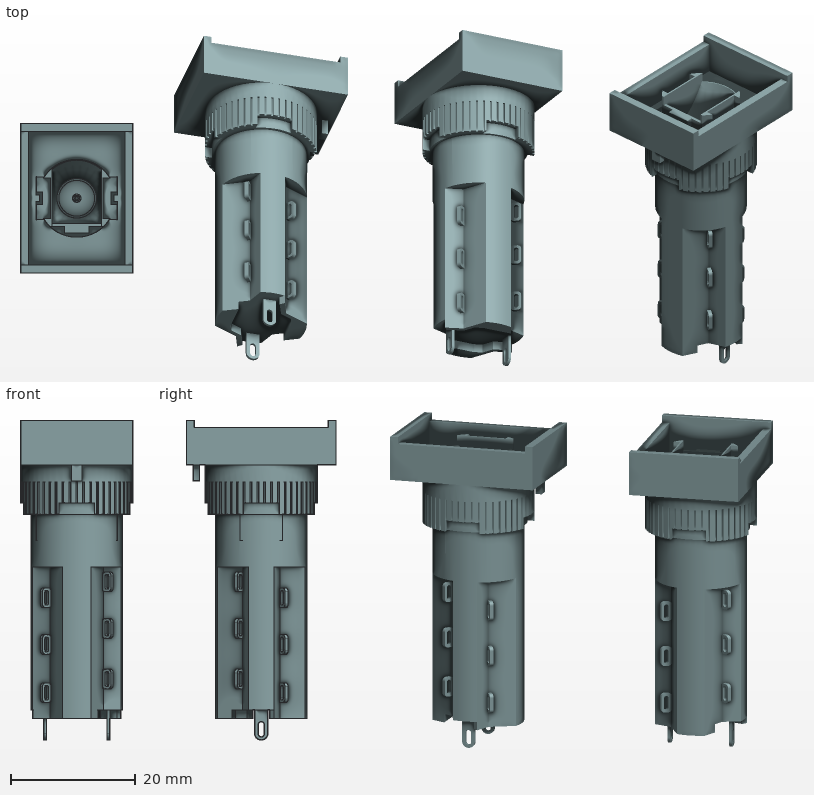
import cadquery as cq
import math

top_z = 51.25
side_wall_top_z = 50.1
bezel_floor_z = 45.0
bezel_bottom_z = 44.1
groove_top_z = 41.4
notch_top_z = 38.0
collar_bottom_z = 36.15
cavity_bottom_z = 32.0
barrel_bottom_z = 27.75
lobe_bottom_z = 4.8
skirt_bottom_z = 3.45

bezel_x = 18.0
bezel_y = 24.0
bezel_wall = 1.3
tab_x = 1.75
tab_y = 1.0
tab_center_y = -10.4
tab_bottom_z = 41.55

collar_radius = bezel_x / 2
collar_core_radius = 7.9
groove_count = 50
groove_width = 0.3
groove_depth = 0.35
notch_width = 5.75
barrel_radius = 14.7 / 2

holder_radius = 6.25
slot_half_x = 6.5
slot_half_y = 3.45
key_inner_x = 5.95
key_width = 1.1

notch_side_x = 7.05
notch_front_x = 2.25
notch_root_x = 4.25
notch_root_y = 3.0
notch_side_y = math.sqrt(barrel_radius**2 - notch_side_x**2)
notch_front_y = math.sqrt(barrel_radius**2 - notch_front_x**2)

skirt_inner_y = 4.65
skirt_inner_points = [
    (1.55, skirt_inner_y),
    (2.85, 4.15),
    (3.8, 2.3),
    (6.45, 1.35),
]

lug_angle = 35.5
lug_inner_radius = 5.1
lug_outer_radius = 6.95
lug_thickness = 0.6
lug_height = 3.2
lug_corner = 0.6
lug_hole_radius = 6.15
lug_hole_width = 0.75
lug_hole_height = 2.35
low_lug_heights = [22.8, 15.3, 7.6]
high_lug_heights = [25.35, 17.9, 9.8]

terminal_x = 5.05
terminal_thickness = 0.45
terminal_width = 2.15
terminal_hole_width = 0.9
terminal_hole_bottom_z = 0.5
terminal_hole_top_z = 2.9

post_top_z = 49.1
rim_top_z = 47.5
ledge_z = bezel_bottom_z
reflector_floor_z = 41.0
reflector_top_radius = 6.1
reflector_floor_radius = 3.2
reflector_half_x = 3.95
reflector_front_y = -4.05
front_wall_y = -4.55
boss_front_y = -5.55
boss_width = 4.0
recess_inner_x = 4.2
recess_half_y = 3.3
holder_tab_x = 6.45
holder_tab_half_y = 3.4
keyway_inner_x = 5.5
keyway_width = 2.05
lamp_recess_radius = 2.85
lamp_recess_depth = 0.15
socket_radius = 0.65
socket_depth = 0.5
socket_step_radius = 0.45
socket_step_depth = 0.75
contact_radius = 0.25
contact_depth = 1.0


def block(x0, x1, y0, y1, z0, z1):
    """Box between two opposite corners."""
    return cq.Workplane("XY").box(x1 - x0, y1 - y0, z1 - z0, centered=False).translate((x0, y0, z0))


def cylinder(radius, z0, z1):
    """Cylinder on the switch axis."""
    return cq.Workplane("XY").workplane(offset=z0).circle(radius).extrude(z1 - z0)


def opposite(shape):
    """Copy turned half a turn about the switch axis."""
    return shape.rotate((0, 0, 0), (0, 0, 1), 180)


def make_bezel():
    half_x = bezel_x / 2
    half_y = bezel_y / 2
    inner_x = half_x - bezel_wall
    inner_y = half_y - bezel_wall
    bezel = block(-half_x, half_x, -half_y, half_y, bezel_bottom_z, top_z)
    bezel = bezel.cut(block(-inner_x, inner_x, -inner_y, inner_y, bezel_floor_z, top_z))
    bezel = bezel.cut(block(-half_x, half_x, -inner_y, inner_y, side_wall_top_z, top_z))
    locating_tab = block(
        -tab_x / 2, tab_x / 2,
        tab_center_y - tab_y / 2, tab_center_y + tab_y / 2,
        tab_bottom_z, bezel_bottom_z,
    )
    return bezel.union(locating_tab)


def make_collar():
    grip = cylinder(collar_radius, collar_bottom_z, bezel_bottom_z)
    grooves = (
        cq.Workplane("XY")
        .workplane(offset=collar_bottom_z)
        .polarArray(collar_radius, -90, 360, groove_count)
        .rect(2 * groove_depth, groove_width)
        .extrude(groove_top_z - collar_bottom_z)
    )
    grip = grip.cut(grooves)
    half_notch = notch_width / 2
    reach = 2 * collar_radius
    for half_x, half_y in [(reach, half_notch), (half_notch, reach)]:
        grip = grip.cut(block(-half_x, half_x, -half_y, half_y, collar_bottom_z, notch_top_z))
    return grip.union(cylinder(collar_core_radius, collar_bottom_z, bezel_bottom_z))


def make_contact_block():
    return (
        cq.Workplane("XY")
        .workplane(offset=lobe_bottom_z)
        .moveTo(notch_side_x, -notch_side_y)
        .threePointArc((barrel_radius, 0), (notch_side_x, notch_side_y))
        .lineTo(notch_root_x, notch_root_y)
        .lineTo(notch_front_x, notch_front_y)
        .threePointArc((0, barrel_radius), (-notch_front_x, notch_front_y))
        .lineTo(-notch_root_x, notch_root_y)
        .lineTo(-notch_side_x, notch_side_y)
        .threePointArc((-barrel_radius, 0), (-notch_side_x, -notch_side_y))
        .lineTo(-notch_root_x, -notch_root_y)
        .lineTo(-notch_front_x, -notch_front_y)
        .threePointArc((0, -barrel_radius), (notch_front_x, -notch_front_y))
        .lineTo(notch_root_x, -notch_root_y)
        .close()
        .extrude(barrel_bottom_z - lobe_bottom_z)
    )


def make_skirt():
    """Foot under the +Y lobe, with a thin wall that follows the +X +Y notch."""
    cut_share = (skirt_inner_y - notch_root_y) / (notch_front_y - notch_root_y)
    cut_x = notch_root_x + cut_share * (notch_front_x - notch_root_x)
    return (
        cq.Workplane("XY")
        .workplane(offset=skirt_bottom_z)
        .moveTo(notch_front_x, notch_front_y)
        .threePointArc((0, barrel_radius), (-notch_front_x, notch_front_y))
        .polyline([(-cut_x, skirt_inner_y), *skirt_inner_points], includeCurrent=True)
        .lineTo(notch_side_x, notch_side_y)
        .lineTo(notch_root_x, notch_root_y)
        .close()
        .extrude(lobe_bottom_z - skirt_bottom_z)
    )


def make_lug(angle, center_z):
    """Upright contact lug with a wire hole, set radially in a notch."""
    plate_center = (lug_inner_radius + lug_outer_radius) / 2
    plate = (
        cq.Workplane("XZ")
        .center(plate_center, center_z)
        .rect(lug_outer_radius - lug_inner_radius, lug_height)
        .extrude(lug_thickness / 2, both=True)
        .edges("|Y")
        .fillet(lug_corner)
    )
    hole = (
        cq.Workplane("XZ")
        .center(lug_hole_radius, center_z)
        .slot2D(lug_hole_height, lug_hole_width, 90)
        .extrude(lug_thickness, both=True)
    )
    return plate.cut(hole).rotate((0, 0, 0), (0, 0, 1), angle)


def make_terminal():
    """Flat solder terminal on the +X side, with a round end and a slotted hole."""
    end_radius = terminal_width / 2
    blade = (
        cq.Workplane("YZ")
        .workplane(offset=terminal_x - terminal_thickness / 2)
        .moveTo(-end_radius, lobe_bottom_z)
        .lineTo(-end_radius, end_radius)
        .threePointArc((0, 0), (end_radius, end_radius))
        .lineTo(end_radius, lobe_bottom_z)
        .close()
        .extrude(terminal_thickness)
    )
    hole = (
        cq.Workplane("YZ")
        .workplane(offset=terminal_x - terminal_thickness)
        .center(0, (terminal_hole_bottom_z + terminal_hole_top_z) / 2)
        .slot2D(terminal_hole_top_z - terminal_hole_bottom_z, terminal_hole_width, 90)
        .extrude(2 * terminal_thickness)
    )
    return blade.cut(hole)


def make_cavity():
    """Round bore with a slot across it, less the two keys that guide the lamp holder."""
    slot = block(-slot_half_x, slot_half_x, -slot_half_y, slot_half_y, cavity_bottom_z, bezel_floor_z)
    key = block(key_inner_x, slot_half_x, -key_width / 2, key_width / 2, cavity_bottom_z, bezel_floor_z)
    bore = cylinder(holder_radius, cavity_bottom_z, bezel_floor_z)
    return bore.union(slot).cut(key).cut(opposite(key))


def make_housing():
    housing = make_bezel().union(make_collar())
    housing = housing.union(cylinder(barrel_radius, barrel_bottom_z, bezel_bottom_z))
    housing = housing.union(make_contact_block())
    for foot in [make_skirt(), make_terminal()]:
        housing = housing.union(foot).union(opposite(foot))
    for angle, heights in [(lug_angle, low_lug_heights), (-lug_angle, high_lug_heights)]:
        for center_z in heights:
            lug = make_lug(angle, center_z)
            housing = housing.union(lug).union(opposite(lug))
    return housing.cut(make_cavity())


def make_holder_blank():
    """Round holder with low front ledge and low side tabs that run in the cavity slots."""
    reach = 2 * holder_radius
    holder = cylinder(holder_radius, cavity_bottom_z, post_top_z)
    holder = holder.cut(block(-reach, reach, -reach, front_wall_y, ledge_z, post_top_z))
    boss = block(-boss_width / 2, boss_width / 2, boss_front_y, front_wall_y, ledge_z, rim_top_z)
    tabs = block(
        -holder_tab_x, holder_tab_x,
        -holder_tab_half_y, holder_tab_half_y,
        cavity_bottom_z, ledge_z,
    )
    holder = holder.union(boss).union(tabs)
    recess = block(recess_inner_x, reach, -recess_half_y, recess_half_y, ledge_z, post_top_z)
    keyway = block(keyway_inner_x, reach, -keyway_width / 2, keyway_width / 2, cavity_bottom_z, ledge_z)
    for pocket in [recess, keyway]:
        holder = holder.cut(pocket).cut(opposite(pocket))
    return holder


def make_reflector():
    """Conical hollow cut flat at the sides and the front."""
    cone = (
        cq.Workplane("XY")
        .workplane(offset=reflector_floor_z)
        .circle(reflector_floor_radius)
        .workplane(offset=rim_top_z - reflector_floor_z)
        .circle(reflector_top_radius)
        .loft()
    )
    window = block(
        -reflector_half_x, reflector_half_x,
        reflector_front_y, holder_radius,
        reflector_floor_z, rim_top_z,
    )
    return cone.intersect(window)


def make_lamp_holder():
    reach = 2 * holder_radius
    holder = make_holder_blank()
    gap_between_posts = block(-reflector_half_x, reflector_half_x, -reach, reach, rim_top_z, post_top_z)
    holder = holder.cut(gap_between_posts).cut(make_reflector())
    for radius, depth in [
        (lamp_recess_radius, lamp_recess_depth),
        (socket_radius, socket_depth),
        (socket_step_radius, socket_step_depth),
        (contact_radius, contact_depth),
    ]:
        holder = holder.cut(cylinder(radius, reflector_floor_z - depth, reflector_floor_z))
    return holder


housing = make_housing()
lamp_holder = make_lamp_holder()

result = cq.Compound.makeCompound([housing.solids().val(), lamp_holder.solids().val()])